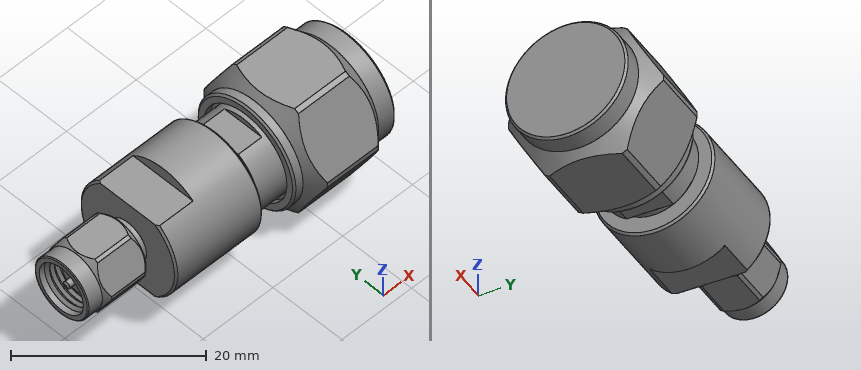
import cadquery as cq
import math

total_length = 41.0

small_collar_radius = 3.9
small_collar_chamfer = 0.12
small_hex_start = 2.05
small_hex_end = 8.32
small_hex_flats = 8.05
small_hex_corner_radius = 4.5
small_hex_bevel_length = 0.75

socket_mouth_radius = 3.2
socket_mouth_depth = 0.75
socket_radius = 2.83
socket_depth = 2.9
groove_count = 2
groove_pitch = 0.7
groove_depth = 0.33
insulator_radius = 2.17
insulator_face = 2.2
insulator_chamfer = 0.05
pin_radius = 0.45
pin_tip_radius = 0.2
pin_tip_start = 0.57
pin_tip_length = 0.2
pin_clearance_radius = 0.6
pin_clearance_depth = 0.2

front_neck_radius = 2.7
body_start = 9.55
body_end = 22.0
body_radius = 7.0
body_chamfer = 0.25
body_flats = 11.0
body_flats_end = 14.6

rear_neck_radius = 4.9
ring_start = 22.7
ring_radius = 5.6
ring_flats = 2 * rear_neck_radius
ring_flats_end = 26.08

large_nut_start = 26.4
large_collar_radius = 7.1
large_collar_chamfer = 0.25
large_hex_start = 27.68
large_hex_end = 38.5
large_hex_flats = 15.85
large_hex_corner_radius = 8.98
front_bevel_length = 1.65
rear_bevel_length = large_hex_corner_radius - large_collar_radius
recess_radius = 6.03
recess_depth = 0.8


def revolved(points):
    """Solid of revolution about X from a closed outline of (station, radius) points."""
    return cq.Workplane("XY").polyline(points).close().revolve(360, (0, 0, 0), (1, 0, 0))


def cylinder(start, end, radius, start_chamfer=0.0, end_chamfer=0.0):
    """Cylinder along X with optional 45 degree edge chamfers."""
    outline = [(start, 0), (start, radius - start_chamfer)]
    if start_chamfer:
        outline.append((start + start_chamfer, radius))
    if end_chamfer:
        outline.append((end - end_chamfer, radius))
    outline += [(end, radius - end_chamfer), (end, 0)]
    return revolved(outline)


def bevelled_hex(start, end, flats, corner_radius, collar_radius, start_bevel, end_bevel):
    """Hexagon with flats facing +Z and -Z, its corners turned round and bevelled to the collars."""
    prism = (
        cq.Workplane("YZ", origin=(start, 0, 0))
        .polygon(6, flats / math.cos(math.pi / 6))
        .extrude(end - start)
    )
    envelope = revolved([
        (start, 0),
        (start, collar_radius),
        (start + start_bevel, corner_radius),
        (end - end_bevel, corner_radius),
        (end, collar_radius),
        (end, 0),
    ])
    return prism.intersect(envelope)


def cut_flats(blank, start, end, across, radius):
    """Mill a pair of flats facing +Z and -Z over part of a round blank."""
    for side in (1, -1):
        cutter = cq.Workplane("XY").box(
            end - start, 2 * radius, radius, centered=(False, True, False)
        )
        if side < 0:
            cutter = cutter.translate((0, 0, -radius))
        blank = blank.cut(cutter.translate((start, 0, side * across / 2)))
    return blank


def small_nut():
    collar = cylinder(0, small_hex_end, small_collar_radius, start_chamfer=small_collar_chamfer)
    hexagon = bevelled_hex(
        small_hex_start, small_hex_end, small_hex_flats, small_hex_corner_radius,
        small_collar_radius, small_hex_bevel_length, small_hex_bevel_length,
    )
    return collar.union(hexagon)


def socket():
    """Bore of the small nut: plain mouth, 45 degree lead-in, then V-shaped thread grooves."""
    grooves_start = socket_mouth_depth + socket_mouth_radius - socket_radius
    outline = [
        (0, 0),
        (0, socket_mouth_radius),
        (socket_mouth_depth, socket_mouth_radius),
        (grooves_start, socket_radius),
    ]
    for index in range(groove_count):
        groove_start = grooves_start + index * groove_pitch
        outline += [
            (groove_start + groove_pitch / 2, socket_radius + groove_depth),
            (groove_start + groove_pitch, socket_radius),
        ]
    outline += [(socket_depth, socket_radius), (socket_depth, 0)]
    return revolved(outline)


def contact():
    """Insulator standing on the socket floor, with the tapered centre pin
    rising from a shallow clearance."""
    insulator = cylinder(insulator_face, socket_depth, insulator_radius, insulator_chamfer)
    pin = revolved([
        (pin_tip_start, 0),
        (pin_tip_start, pin_tip_radius),
        (pin_tip_start + pin_tip_length, pin_radius),
        (socket_depth, pin_radius),
        (socket_depth, 0),
    ])
    clearance = cylinder(insulator_face, insulator_face + pin_clearance_depth, pin_clearance_radius)
    return insulator.cut(clearance).union(pin)


def main_body():
    blank = cylinder(body_start, body_end, body_radius, body_chamfer, body_chamfer)
    return cut_flats(blank, body_start, body_flats_end, body_flats, body_radius)


def rear_ring():
    blank = cylinder(ring_start, large_nut_start + recess_depth, ring_radius)
    return cut_flats(blank, ring_start, ring_flats_end, ring_flats, ring_radius)


def large_nut():
    collar = cylinder(
        large_nut_start, total_length, large_collar_radius, large_collar_chamfer, large_collar_chamfer
    )
    hexagon = bevelled_hex(
        large_hex_start, large_hex_end, large_hex_flats, large_hex_corner_radius,
        large_collar_radius, front_bevel_length, rear_bevel_length,
    )
    recess = cylinder(large_nut_start, large_nut_start + recess_depth, recess_radius)
    return collar.union(hexagon).cut(recess)


front_neck = cylinder(small_hex_end, body_start, front_neck_radius)
rear_neck = cylinder(body_end, ring_start, rear_neck_radius)

result = small_nut().cut(socket()).union(contact())
for section in (front_neck, main_body(), rear_neck, rear_ring(), large_nut()):
    result = result.union(section)
result = result.translate((-total_length / 2, 0, 0))